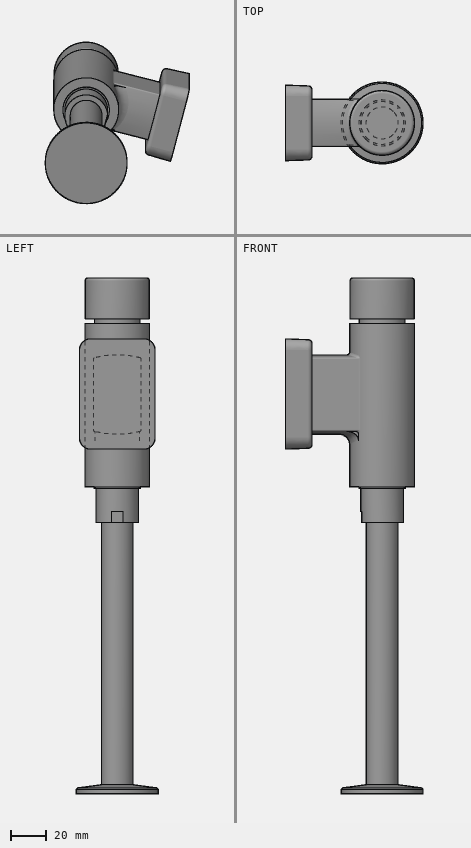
import cadquery as cq
import math

total_height = 288.5
total_length = 77.0

rosette_diameter = 46.0
rosette_rim_height = 2.5
rosette_bevel_width = 1.0
rosette_bevel_top = 3.5
rosette_crown_diameter = 18.5
rosette_height = 5.2

pipe_diameter = 18.0

nut_diameter = 24.0
nut_bottom = 151.8
nut_collar_diameter = 26.0
nut_collar_height = 1.0
nut_flat_width = 6.5
nut_flat_height = 6.0

body_diameter = 36.5
body_bottom = 171.7
body_top = 263.2

neck_diameter = 25.7
button_diameter = 36.0
button_bottom = 265.5
button_top_round = 1.7
button_bottom_round = 0.5

plate_outer_x = rosette_diameter / 2 - total_length
plate_thickness = 15.0
plate_width = 42.5
plate_height = 61.8
plate_center_z = 223.7
plate_corner_radius = 6.3
plate_draft_angle = 2.0
plate_edge_round = 2.3

arm_width = 26.5
arm_side_height = 41.0
arm_crown = 1.7
arm_center_z = 223.5
arm_edge_round = 1.0
junction_round = 1.5

flare_radius = 5.8
flare_width = 24.8
overwide_arm_width = 30.0


def disc(diameter, bottom, top):
    """Vertical cylinder on the valve axis."""
    return cq.Workplane("XY", origin=(0, 0, bottom)).circle(diameter / 2).extrude(top - bottom)


def make_rosette():
    rim_radius = rosette_diameter / 2
    profile = [
        (0, 0),
        (rim_radius, 0),
        (rim_radius, rosette_rim_height),
        (rim_radius - rosette_bevel_width, rosette_bevel_top),
        (rosette_crown_diameter / 2, rosette_height),
        (0, rosette_height),
    ]
    return cq.Workplane("XZ").polyline(profile).close().revolve(360, (0, 0, 0), (0, 1, 0))


def make_nut():
    nut = disc(nut_diameter, nut_bottom, body_bottom)
    radius = nut_diameter / 2
    flat_x = -math.sqrt(radius**2 - (nut_flat_width / 2) ** 2)
    flat_cutter = (
        cq.Workplane("XY", origin=(flat_x - radius / 2, 0, nut_bottom))
        .box(radius, nut_diameter, nut_flat_height, centered=(True, True, False))
    )
    collar = disc(nut_collar_diameter, body_bottom - nut_collar_height, body_bottom)
    return nut.cut(flat_cutter).union(collar)


def make_button():
    button = (
        disc(button_diameter, button_bottom, total_height)
        .faces(">Z").edges().fillet(button_top_round)
        .faces("<Z").edges().fillet(button_bottom_round)
    )
    return button.union(disc(neck_diameter, body_top, button_bottom))


def make_plate():
    outline = cq.Sketch().rect(plate_width, plate_height).vertices().fillet(plate_corner_radius)
    return (
        cq.Workplane("YZ", origin=(plate_outer_x, 0, plate_center_z))
        .placeSketch(outline)
        .extrude(plate_thickness, taper=plate_draft_angle)
        .faces(">X").edges().fillet(plate_edge_round)
    )


def make_arm(width):
    """Arm from the plate to the valve axis; its crown arcs keep one radius at any width."""
    start_x = plate_outer_x + plate_thickness
    half_width = width / 2
    half_crown = arm_side_height / 2 + arm_crown
    crown_radius = ((arm_width / 2) ** 2 + arm_crown**2) / (2 * arm_crown)
    half_side = half_crown - crown_radius + math.sqrt(crown_radius**2 - half_width**2)
    return (
        cq.Workplane("YZ", origin=(start_x, 0, arm_center_z))
        .moveTo(-half_width, -half_side)
        .threePointArc((0, -half_crown), (half_width, -half_side))
        .lineTo(half_width, half_side)
        .threePointArc((0, half_crown), (-half_width, half_side))
        .close()
        .extrude(-start_x)
    )


def make_body():
    return disc(body_diameter, body_bottom, body_top)


def round_junction(joined, low_z, high_z, radius):
    """Fillet the edges between arm and body whose centers lie from low_z to high_z."""
    reach = body_diameter / 2
    junction_box = cq.selectors.BoxSelector((-reach - radius, -reach, low_z), (-radius, reach, high_z))
    return joined.edges(junction_box).fillet(radius)


def make_body_with_arm():
    """Body and arm, with a small fillet where the arm runs into the body."""
    arm = make_arm(arm_width).edges("|X").fillet(arm_edge_round)
    low_z = arm_center_z - arm_side_height
    high_z = arm_center_z + arm_side_height
    return round_junction(make_body().union(arm), low_z, high_z, junction_round)


def make_flare():
    """Underside flare: filleted on an overwide arm, then trimmed to the flare width."""
    low_z = arm_center_z - arm_side_height
    high_z = arm_center_z - flare_radius
    overwide_arm = make_arm(overwide_arm_width)
    flared = round_junction(make_body().union(overwide_arm), low_z, high_z, flare_radius)
    trim_length = body_diameter + 2 * flare_radius
    trim = cq.Workplane("XY", origin=(0, 0, low_z)).box(
        trim_length, flare_width, high_z - low_z, centered=(True, True, False)
    )
    return flared.intersect(trim)


result = (
    make_body_with_arm()
    .union(make_flare())
    .union(make_plate())
    .union(make_button())
    .union(make_nut())
    .union(disc(pipe_diameter, 0, nut_bottom))
    .union(make_rosette())
)